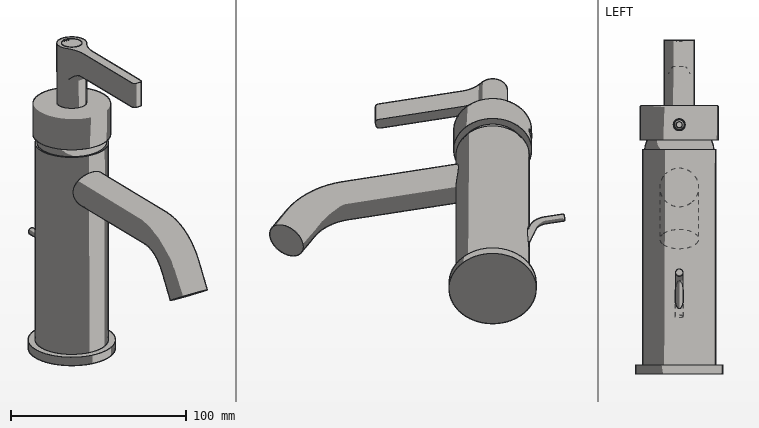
import cadquery as cq
import math

BASE_RADIUS = 25.0
BASE_THICKNESS = 5.3
COLUMN_RADIUS = 21.0
COLUMN_TOP = 128.2
NECK_BOTTOM_RADIUS = 19.8
NECK_TOP_RADIUS = 18.3
NECK_BULGE = 0.4

SPOUT_RADIUS = 11.0
SPOUT_HEIGHT = 106.5
SPOUT_BEND_START = 85.7
SPOUT_BEND_RADIUS = 29.5
SPOUT_BEND_ANGLE = 60
SPOUT_OUTLET_LENGTH = 17.0

CAP_RADIUS = 22.3
CAP_BOTTOM = 133.5
CAP_TOP = 153.4
CAP_EDGE_FILLET = 1.0
STEM_RADIUS = 8.5
HANDLE_TOP = 190.5
LEVER_HEIGHT = 15.0
LEVER_WIDTH = 6.3
LEVER_END = 68.0
LEVER_END_FILLET = 2.3
LEVER_FLARE_RADIUS = 20.0
LEVER_ROOT_FILLET = 5.3
LEVER_BOTTOM = HANDLE_TOP - LEVER_HEIGHT
LEVER_ROOT_BOTTOM = LEVER_BOTTOM - LEVER_ROOT_FILLET

RECESS_RADIUS = 6.0
RECESS_DEPTH = 0.2
NOTCH_INNER = 5.0
NOTCH_OUTER = 6.1
NOTCH_WIDTH = 3.0
NOTCH_DEPTH = 0.8

SCREW_HEIGHT = 142.3
SEAT_RADIUS = 3.5
SEAT_DEPTH = 1.1
SCREW_RADIUS = 2.9
SCREW_TIP_RADIUS = 1.7
SCREW_PROTRUSION = 0.4
SCREW_TAPER_LENGTH = 1.1

ROD_RADIUS = 2.1
ROD_TIP = -41.7
ROD_HEIGHT = 58.0
ROD_BEND_START = -30.3
ROD_BEND_RADIUS = 7.2
ROD_BEND_ANGLE = 72
ROD_LEG_LENGTH = 21.0
ROD_TIP_FILLET = 0.8
ROD_HOLE_RADIUS = 2.5


def slope_direction(angle):
    """Unit (x, z) direction pointing toward +X and down by the angle in degrees."""
    return math.cos(math.radians(angle)), -math.sin(math.radians(angle))


def bend_point(start_x, height, bend_radius, angle):
    """(x, z) point reached along a downward bend that starts level at start_x."""
    turn = math.radians(angle)
    return start_x + bend_radius * math.sin(turn), height - bend_radius * (1 - math.cos(turn))


def bent_bar(radius, first_x, height, bend_start, bend_radius, angle, leg_length):
    """Round bar: level from first_x, bent downward, then a straight leg."""
    bend_middle = bend_point(bend_start, height, bend_radius, angle / 2)
    bend_end = bend_point(bend_start, height, bend_radius, angle)
    direction = slope_direction(angle)
    leg_end = (bend_end[0] + leg_length * direction[0], bend_end[1] + leg_length * direction[1])
    path = (
        cq.Workplane("XZ")
        .moveTo(first_x, height)
        .lineTo(bend_start, height)
        .threePointArc(bend_middle, bend_end)
        .lineTo(*leg_end)
    )
    section = cq.Workplane("YZ", origin=(first_x, 0, height)).circle(radius)
    return section.sweep(path)


def make_column():
    """Base flange, column and rounded neck as one revolved profile."""
    neck_middle = (
        (NECK_BOTTOM_RADIUS + NECK_TOP_RADIUS) / 2 + NECK_BULGE,
        (COLUMN_TOP + CAP_BOTTOM) / 2,
    )
    return (
        cq.Workplane("XZ")
        .moveTo(0, 0)
        .lineTo(BASE_RADIUS, 0)
        .lineTo(BASE_RADIUS, BASE_THICKNESS)
        .lineTo(COLUMN_RADIUS, BASE_THICKNESS)
        .lineTo(COLUMN_RADIUS, COLUMN_TOP)
        .lineTo(NECK_BOTTOM_RADIUS, COLUMN_TOP)
        .threePointArc(neck_middle, (NECK_TOP_RADIUS, CAP_BOTTOM))
        .lineTo(0, CAP_BOTTOM)
        .close()
        .revolve(360, (0, 0, 0), (0, 1, 0))
    )


def make_spout():
    return bent_bar(
        SPOUT_RADIUS, 0, SPOUT_HEIGHT,
        SPOUT_BEND_START, SPOUT_BEND_RADIUS, SPOUT_BEND_ANGLE, SPOUT_OUTLET_LENGTH,
    )


def make_rod_hole():
    """Slanted blind hole, coaxial with the rod's leg and ending where the rod ends."""
    start_x, start_z = bend_point(ROD_BEND_START, ROD_HEIGHT, ROD_BEND_RADIUS, ROD_BEND_ANGLE)
    direction_x, direction_z = slope_direction(ROD_BEND_ANGLE)
    hole = cq.Solid.makeCylinder(
        ROD_HOLE_RADIUS, ROD_LEG_LENGTH,
        cq.Vector(start_x, 0, start_z), cq.Vector(direction_x, 0, direction_z),
    )
    return cq.Workplane(obj=hole)


def make_faucet_body():
    return make_column().union(make_spout()).cut(make_rod_hole())


def make_cap():
    return (
        cq.Workplane("XY", origin=(0, 0, CAP_BOTTOM))
        .circle(CAP_RADIUS)
        .extrude(CAP_TOP - CAP_BOTTOM)
        .faces(">Z")
        .edges()
        .fillet(CAP_EDGE_FILLET)
    )


def make_lever_underside():
    """Ring below the lever, curved inside so that the lever meets the stem in a fillet."""
    root_end = STEM_RADIUS + LEVER_ROOT_FILLET
    arc_offset = LEVER_ROOT_FILLET * math.sqrt(0.5)
    arc_middle = (root_end - arc_offset, LEVER_ROOT_BOTTOM + arc_offset)
    ring_radius = LEVER_END + LEVER_WIDTH
    return (
        cq.Workplane("XZ")
        .moveTo(STEM_RADIUS, LEVER_ROOT_BOTTOM)
        .threePointArc(arc_middle, (root_end, LEVER_BOTTOM))
        .lineTo(ring_radius, LEVER_BOTTOM)
        .lineTo(ring_radius, LEVER_ROOT_BOTTOM)
        .close()
        .revolve(360, (0, 0, 0), (0, 1, 0))
    )


def make_lever():
    """Flat lever whose root flares tangentially into the stem."""
    half_width = LEVER_WIDTH / 2
    flare_center_y = half_width + LEVER_FLARE_RADIUS
    center_distance = STEM_RADIUS + LEVER_FLARE_RADIUS
    flare_end_x = math.sqrt(center_distance**2 - flare_center_y**2)
    tangent_x = flare_end_x * STEM_RADIUS / center_distance
    tangent_y = flare_center_y * STEM_RADIUS / center_distance

    blank = (
        cq.Workplane("XY", origin=(0, 0, LEVER_ROOT_BOTTOM))
        .moveTo(0, -tangent_y)
        .lineTo(tangent_x, -tangent_y)
        .radiusArc((flare_end_x, -half_width), LEVER_FLARE_RADIUS)
        .lineTo(LEVER_END, -half_width)
        .lineTo(LEVER_END, half_width)
        .lineTo(flare_end_x, half_width)
        .radiusArc((tangent_x, tangent_y), LEVER_FLARE_RADIUS)
        .lineTo(0, tangent_y)
        .close()
        .extrude(HANDLE_TOP - LEVER_ROOT_BOTTOM)
        .edges("|Z and >X")
        .fillet(LEVER_END_FILLET)
    )
    return blank.cut(make_lever_underside())


def make_stem():
    return (
        cq.Workplane("XY", origin=(0, 0, CAP_TOP))
        .circle(STEM_RADIUS)
        .extrude(HANDLE_TOP - CAP_TOP)
    )


def make_top_recess():
    top = cq.Workplane("XY", origin=(0, 0, HANDLE_TOP))
    recess = top.circle(RECESS_RADIUS).extrude(-RECESS_DEPTH)
    notch = (
        top.center(-(NOTCH_INNER + NOTCH_OUTER) / 2, 0)
        .rect(NOTCH_OUTER - NOTCH_INNER, NOTCH_WIDTH)
        .extrude(-NOTCH_DEPTH)
    )
    return recess.union(notch)


def make_screw_seat():
    return (
        cq.Workplane("YZ", origin=(-CAP_RADIUS, 0, SCREW_HEIGHT))
        .circle(SEAT_RADIUS)
        .extrude(SEAT_DEPTH)
    )


def make_screw():
    """Round screw standing on the floor of its seat, tapering to a flat tip."""
    tip = -CAP_RADIUS - SCREW_PROTRUSION
    taper_base = tip + SCREW_TAPER_LENGTH
    seat_floor = -CAP_RADIUS + SEAT_DEPTH
    return (
        cq.Workplane("XZ", origin=(0, 0, SCREW_HEIGHT))
        .moveTo(tip, 0)
        .lineTo(tip, SCREW_TIP_RADIUS)
        .lineTo(taper_base, SCREW_RADIUS)
        .lineTo(seat_floor, SCREW_RADIUS)
        .lineTo(seat_floor, 0)
        .close()
        .revolve(360, (0, 0, 0), (1, 0, 0))
    )


def make_handle():
    return (
        make_cap()
        .union(make_stem().union(make_lever()))
        .cut(make_top_recess())
        .cut(make_screw_seat())
        .union(make_screw())
    )


def make_lift_rod():
    rod = bent_bar(
        ROD_RADIUS, ROD_TIP, ROD_HEIGHT,
        ROD_BEND_START, ROD_BEND_RADIUS, ROD_BEND_ANGLE, ROD_LEG_LENGTH,
    )
    return rod.faces("<X").edges().fillet(ROD_TIP_FILLET)


faucet_body = make_faucet_body()
handle = make_handle()
lift_rod = make_lift_rod()

result = cq.Compound.makeCompound([body.solids().val() for body in (faucet_body, handle, lift_rod)])